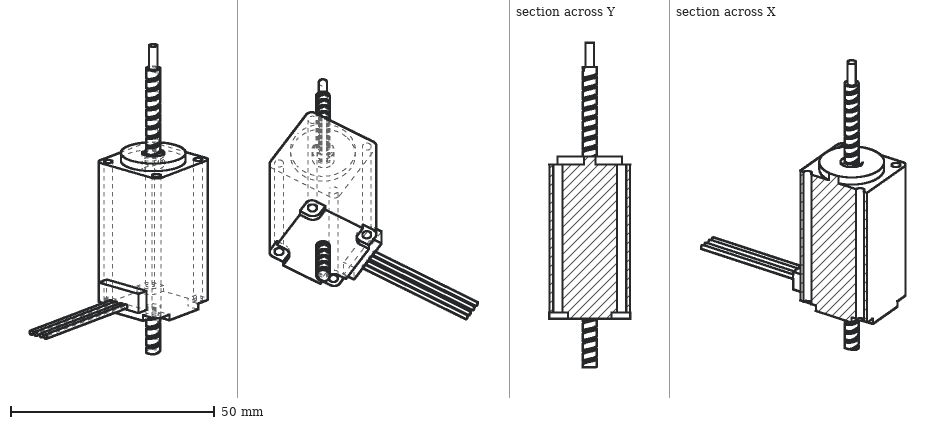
import cadquery as cq
import math

body_width = 20.0
body_height = 38.0
body_corner_radius = 1.6
pilot_diameter = 16.0
pilot_height = 2.0

hole_spacing = 15.7
hole_diameter = 2.2
relief_side = 4.6
relief_corner_radius = 2.2
relief_height = 1.5

screw_diameter = 3.5
screw_drop = 12.0
screw_rise = 22.0
journal_diameter = 2.1
journal_length = 6.0

groove_pitch = 2.485
groove_depth = 0.4
groove_root_width = 0.35
groove_flank_angle = 28.0
groove_outer_radius = 2.75
groove_end_angle = -150.0
groove_end_drop = 0.57
spare_pitches = 4

block_width = 13.0
block_depth = 3.0
block_height = 5.0
block_bottom = 3.1
wire_diameter = 1.1
wire_length = 30.0
wire_height = 3.9
wire_positions = (-2.4, -0.9, 0.9, 2.3)

pilot_top = body_height + pilot_height
screw_top = pilot_top + screw_rise
groove_end_height = screw_top - groove_end_drop
body_front = -body_width / 2


def make_body():
    """Square motor body with rounded corners, a pilot, mounting holes and corner reliefs."""
    body = cq.Workplane("XY").rect(body_width, body_width).extrude(body_height)
    body = body.edges("|Z").fillet(body_corner_radius)
    pilot = cq.Workplane("XY").circle(pilot_diameter / 2).extrude(pilot_top)
    holes = (
        cq.Workplane("XY")
        .rect(hole_spacing, hole_spacing, forConstruction=True)
        .vertices()
        .circle(hole_diameter / 2)
        .extrude(body_height)
    )
    reliefs = (
        cq.Workplane("XY")
        .rect(body_width, body_width, forConstruction=True)
        .vertices()
        .rect(2 * relief_side, 2 * relief_side)
        .extrude(relief_height)
        .edges("|Z")
        .fillet(relief_corner_radius)
    )
    return body.union(pilot).cut(holes).cut(reliefs)


def make_groove(top, turns):
    """Right-handed helical cutter of whole turns that ends at the given height."""
    length = turns * groove_pitch
    root_radius = screw_diameter / 2 - groove_depth
    root_half = groove_root_width / 2
    widening = (groove_outer_radius - root_radius) * math.tan(math.radians(groove_flank_angle))
    outer_half = root_half + widening
    helix = cq.Wire.makeHelix(groove_pitch, length, root_radius)
    profile = cq.Workplane("XZ").polyline(
        [
            (root_radius, -root_half),
            (groove_outer_radius, -outer_half),
            (groove_outer_radius, outer_half),
            (root_radius, root_half),
        ]
    ).close()
    groove = profile.sweep(cq.Workplane(helix), isFrenet=True)
    groove = groove.rotate((0, 0, 0), (0, 0, 1), groove_end_angle)
    return groove.translate((0, 0, top - length))


def make_screw(bottom, top):
    """Plain length of the lead screw."""
    return cq.Workplane("XY").workplane(offset=bottom).circle(screw_diameter / 2).extrude(top - bottom)


def make_journal():
    """Plain end of smaller diameter above the thread."""
    journal = cq.Workplane("XY").workplane(offset=screw_top)
    return journal.circle(journal_diameter / 2).extrude(journal_length)


def make_lead_out():
    """Block on the front face with the wires leaving it."""
    block = cq.Workplane("XY").box(block_width, block_depth, block_height, centered=(True, False, False))
    block = block.translate((0, body_front - block_depth, block_bottom))
    wires = (
        cq.Workplane("XZ", origin=(0, body_front - block_depth, wire_height))
        .pushPoints([(x, 0) for x in wire_positions])
        .circle(wire_diameter / 2)
        .extrude(wire_length)
    )
    return block.union(wires)


def make_upper_part():
    """Body with the upper screw; the groove starts inside the pilot and cuts out through its face."""
    turns = math.ceil((groove_end_height - pilot_top) / groove_pitch) + 1
    plain_part = make_body().union(make_screw(0, screw_top))
    return plain_part.cut(make_groove(groove_end_height, turns))


def make_lower_screw():
    """Screw below the body, grooved over-long in step with the upper groove and then trimmed."""
    turns_above = math.floor(groove_end_height / groove_pitch) - 1
    groove_top = groove_end_height - turns_above * groove_pitch
    turns = math.ceil((groove_top + screw_drop) / groove_pitch) + 1
    spare = spare_pitches * groove_pitch
    grooved = make_screw(-screw_drop - spare, spare).cut(make_groove(groove_top, turns))
    return grooved.intersect(make_screw(-screw_drop, 0))


result = make_upper_part().union(make_lower_screw()).union(make_journal()).union(make_lead_out())